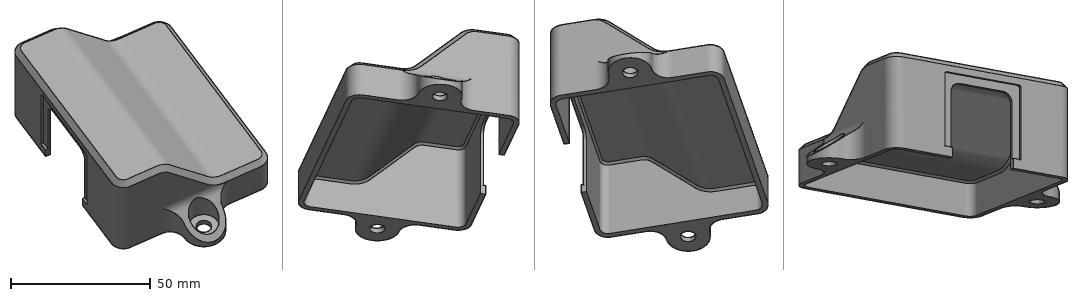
import cadquery as cq
import math

length = 78.0
depth = 64.0
tall_height = 36.0
low_height = 15.0
tall_depth = 20.0
slope_radius = 8.0
corner_radius = 5.0
top_chamfer = 2.0
wall = 2.0

opening_width = 26.5
opening_height = 28.3
opening_radius = 4.0
recess_border = 3.2
recess_bottom = 3.7
recess_depth = 1.0
recess_radius = 1.0

overall_length = 106.0
ear_radius = 8.0
ear_tip_height = 2.0
ear_root_height = 12.0
ear_top_radius = 4.0
screw_diameter = 5.5
counterbore_diameter = 11.0
counterbore_floor = 2.0

half_length = length / 2
front_y = -depth / 2
tip_x = overall_length / 2
ear_x = tip_x - ear_radius
ear_side_radius = ear_x - half_length


def housing_profile(inset, half_width):
    """Bar along X with the housing's side profile moved inwards by inset, slope ends rounded."""
    corner_shift = inset * math.tan(math.radians(22.5))
    top_z = tall_height - inset
    low_z = low_height - inset
    upper_y = front_y + tall_depth - corner_shift
    lower_y = upper_y + top_z - low_z
    front = front_y + inset
    back = -front
    bar = (
        cq.Workplane("YZ", origin=(-half_width, 0, 0))
        .polyline([(front, 0), (back, 0), (back, low_z), (lower_y, low_z), (upper_y, top_z), (front, top_z)])
        .close()
        .extrude(2 * half_width)
    )
    upper_corner = cq.selectors.NearestToPointSelector((0, upper_y, top_z))
    lower_corner = cq.selectors.NearestToPointSelector((0, lower_y, low_z))
    return bar.edges(upper_corner).fillet(slope_radius - inset).edges(lower_corner).fillet(slope_radius + inset)


def housing_block(inset):
    """Solid bounded by the housing surfaces moved inwards by inset."""
    block = housing_profile(inset, half_length - inset).edges("|Z").fillet(corner_radius - inset)
    chamfer = top_chamfer - inset * (2 - math.sqrt(2))
    return block.faces(">Z").edges("<Y").chamfer(chamfer)


def ear():
    """Mounting ear on the +X side, solid, reaching into the housing wall."""
    inner_x = half_length - wall / 2
    root_y = ear_radius + ear_side_radius
    mid = ear_side_radius * (1 - math.sqrt(0.5))
    outline = (
        cq.Workplane("XY")
        .moveTo(inner_x, -root_y)
        .lineTo(half_length, -root_y)
        .threePointArc((half_length + mid, -ear_radius - mid), (ear_x, -ear_radius))
        .threePointArc((tip_x, 0), (ear_x, ear_radius))
        .threePointArc((half_length + mid, ear_radius + mid), (half_length, root_y))
        .lineTo(inner_x, root_y)
        .close()
        .extrude(tall_height)
    )
    slope = math.atan2(ear_root_height - ear_tip_height, tip_x - half_length)
    tangent = ear_top_radius * math.tan((math.pi / 2 - slope) / 2)
    wall_top = ear_root_height + tangent
    slope_start = (
        half_length + tangent * math.cos(slope),
        ear_root_height - tangent * math.sin(slope),
    )
    middle_angle = math.pi + (math.pi / 2 - slope) / 2
    blend_middle = (
        half_length + ear_top_radius * (1 + math.cos(middle_angle)),
        wall_top + ear_top_radius * math.sin(middle_angle),
    )
    side_profile = (
        cq.Workplane("XZ", origin=(0, root_y, 0))
        .moveTo(inner_x, 0)
        .lineTo(tip_x, 0)
        .lineTo(tip_x, ear_tip_height)
        .lineTo(*slope_start)
        .threePointArc(blend_middle, (half_length, wall_top))
        .lineTo(inner_x, wall_top)
        .close()
        .extrude(2 * root_y)
    )
    return outline.intersect(side_profile)


def screw_cut():
    """Through hole with a counterbore open to the top, on the +X side."""
    hole = cq.Workplane("XY").center(ear_x, 0).circle(screw_diameter / 2).extrude(tall_height)
    counterbore = (
        cq.Workplane("XY", origin=(ear_x, 0, counterbore_floor))
        .circle(counterbore_diameter / 2)
        .extrude(tall_height)
    )
    return hole.union(counterbore)


def front_cut(width, bottom, top, radius, cut_depth):
    """Cutter entering the front wall, with its two upper corners rounded."""
    return (
        cq.Workplane("XY", origin=(0, front_y + cut_depth / 2, bottom))
        .box(width, cut_depth, top - bottom, centered=(True, True, False))
        .edges("|Y and >Z")
        .fillet(radius)
    )


result = housing_block(0).cut(housing_block(wall))

right_ear = ear().intersect(housing_profile(top_chamfer, tip_x)).cut(screw_cut())
result = result.union(right_ear).union(right_ear.mirror("YZ"))

through_depth = 2 * wall
result = result.cut(front_cut(opening_width, 0, opening_height, opening_radius, through_depth))
result = result.cut(
    front_cut(
        opening_width + 2 * recess_border,
        recess_bottom,
        opening_height + recess_border,
        recess_radius,
        recess_depth,
    )
)